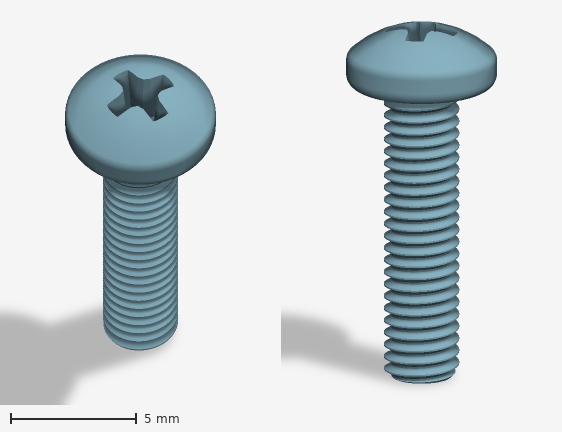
import cadquery as cq
import math

head_radius = 3.0
dome_radius = 4.28
dome_apex_z = 2.493
rim_top_fillet = 0.4
rim_bottom_fillet = 0.5

recess_floor_z = 0.25
mouth_cone_radius = 1.493
mouth_half_width = 0.395
mouth_knee = 0.74
mouth_ridge = 0.495
floor_cone_radius = 0.93
floor_half_width = 0.195
floor_knee = 0.72
floor_ridge = 0.345

shank_length = 12.0
major_radius = 1.5
pitch = 0.5
thread_depth = 0.307
crest_flat = pitch / 8
flank_half_angle = math.radians(30)
tip_chamfer = 0.3
crest_phase_z = 0.4
segment_turns = 4
groove_overcut = 0.03

minor_radius = major_radius - thread_depth


def make_head():
    """Pan head: revolved half section with a domed top and rounded rim."""
    dome_center_z = dome_apex_z - dome_radius
    fillet_center_r = head_radius - rim_top_fillet
    tangent_angle = math.asin(fillet_center_r / (dome_radius - rim_top_fillet))
    fillet_center_z = dome_center_z + (dome_radius - rim_top_fillet) * math.cos(tangent_angle)

    def on_dome(angle):
        return (dome_radius * math.sin(angle), dome_center_z + dome_radius * math.cos(angle))

    fillet_mid_angle = (tangent_angle + math.pi / 2) / 2
    fillet_mid = (
        fillet_center_r + rim_top_fillet * math.sin(fillet_mid_angle),
        fillet_center_z + rim_top_fillet * math.cos(fillet_mid_angle),
    )
    bottom_fillet_mid = (
        head_radius - rim_bottom_fillet * (1 - math.sqrt(0.5)),
        rim_bottom_fillet * (1 - math.sqrt(0.5)),
    )
    return (
        cq.Workplane("XZ")
        .lineTo(head_radius - rim_bottom_fillet, 0)
        .threePointArc(bottom_fillet_mid, (head_radius, rim_bottom_fillet))
        .lineTo(head_radius, fillet_center_z)
        .threePointArc(fillet_mid, on_dome(tangent_angle))
        .threePointArc(on_dome(tangent_angle / 2), (0, dome_apex_z))
        .close()
        .revolve(360, (0, 0), (0, 1))
    )


def cross_wire(z, half_length, half_width, knee, ridge):
    """Closed cross outline at height z; each inner corner is two flats meeting at a 45 degree ridge."""
    points = []
    for turn in range(4):
        angle = turn * math.pi / 2
        for x, y in [
            (half_length, -half_width),
            (half_length, half_width),
            (knee, half_width),
            (ridge, ridge),
            (half_width, knee),
        ]:
            points.append(cq.Vector(
                x * math.cos(angle) - y * math.sin(angle),
                x * math.sin(angle) + y * math.cos(angle),
                z,
            ))
    return cq.Wire.makePolygon(points, close=True)


def make_recess():
    """Tapered cross-shaped cutter from the floor up to the apex height."""
    arm_reach = head_radius
    floor = cross_wire(recess_floor_z, arm_reach, floor_half_width, floor_knee, floor_ridge)
    mouth = cross_wire(dome_apex_z, arm_reach, mouth_half_width, mouth_knee, mouth_ridge)
    cross = cq.Workplane(cq.Solid.makeLoft([floor, mouth], True))
    depth = dome_apex_z - recess_floor_z
    cone = cq.Solid.makeCone(floor_cone_radius, mouth_cone_radius, depth, cq.Vector(0, 0, recess_floor_z))
    return cross.intersect(cq.Workplane(cone))


def make_groove_segment(start_z):
    """Helical V cutter with a flat root; segment_turns long, starting on +X at height start_z."""
    slope = math.tan(flank_half_angle)
    root_half = (pitch - crest_flat) / 2 - thread_depth * slope
    outer_half = root_half + (thread_depth + groove_overcut) * slope
    outer_radius = major_radius + groove_overcut
    origin = cq.Vector(0, 0, start_z)
    segment_height = segment_turns * pitch
    root_helix = cq.Wire.makeHelix(pitch, segment_height, minor_radius, origin)
    outer_helix = cq.Wire.makeHelix(pitch, segment_height, outer_radius, origin)
    return (
        cq.Workplane("XZ")
        .moveTo(minor_radius, start_z - root_half)
        .lineTo(minor_radius, start_z + root_half)
        .lineTo(outer_radius, start_z + outer_half)
        .lineTo(outer_radius, start_z - outer_half)
        .close()
        .sweep(cq.Workplane(root_helix), auxSpine=cq.Workplane(outer_helix))
    )


def make_shank():
    """Threaded shank with a chamfered tip; the groove runs out past both ends."""
    shank = (
        cq.Workplane("XY")
        .circle(major_radius)
        .extrude(-shank_length)
        .faces("<Z")
        .chamfer(tip_chamfer)
    )
    lowest_root_z = crest_phase_z - shank_length - pitch / 2
    groove_start_z = lowest_root_z - pitch
    segment_height = segment_turns * pitch
    segment_count = math.ceil((pitch - groove_start_z) / segment_height)
    for index in range(segment_count):
        shank = shank.cut(make_groove_segment(groove_start_z + index * segment_height))
    return shank


result = make_head().cut(make_recess()).union(make_shank())